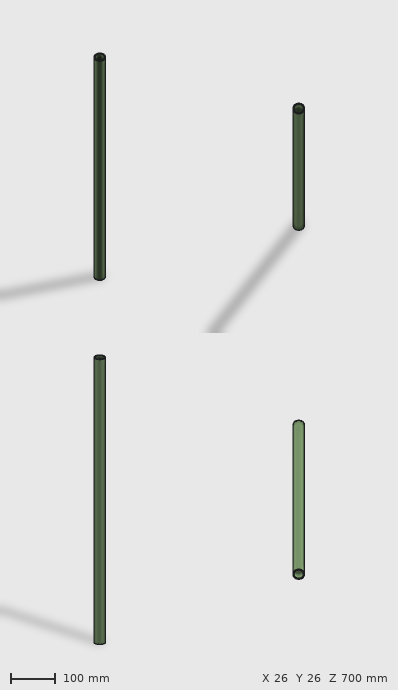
import cadquery as cq

outer_diameter = 26.0
wall_thickness = 2.8
length = 700.0

inner_diameter = outer_diameter - 2 * wall_thickness

result = (
    cq.Workplane("XY")
    .circle(outer_diameter / 2)
    .circle(inner_diameter / 2)
    .extrude(length)
)